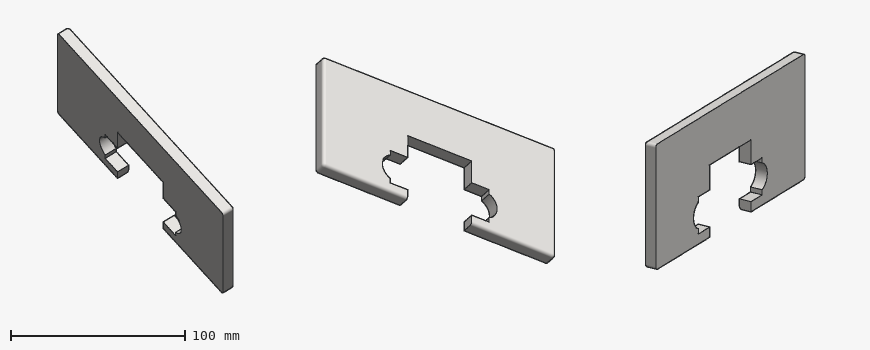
import cadquery as cq

length = 160.0
thickness = 8.0
height = 78.0
edge_radius = thickness / 4

slot_width = 44.0
slot_height = 45.0
window_width = 68.0
window_height = 23.0
window_bottom = 6.4
lobe_span = 78.9
lobe_diameter = 18.2

window_center_z = window_bottom + window_height / 2
lobe_center_x = (lobe_span - lobe_diameter) / 2


def make_plate():
    """Plate standing on Z = 0 with rounded corners and a rounded back rim."""
    plate = cq.Workplane("XY").box(length, thickness, height, centered=(True, True, False))
    return plate.edges("|Y").fillet(edge_radius).faces(">Y").edges().fillet(edge_radius)


def through_box(width, box_height, bottom):
    """Centred rectangular cutter passing through the plate."""
    box = cq.Workplane("XY").box(width, 2 * thickness, box_height, centered=(True, True, False))
    return box.translate((0, 0, bottom))


def make_opening():
    """Open-bottom slot crossed by a wider window with a round lobe at each end."""
    slot = through_box(slot_width, slot_height, 0)
    window = through_box(window_width, window_height, window_bottom)
    lobes = (
        cq.Workplane("XZ")
        .pushPoints([(side * lobe_center_x, window_center_z) for side in (-1, 1)])
        .circle(lobe_diameter / 2)
        .extrude(thickness, both=True)
    )
    return slot.union(window).union(lobes)


result = make_plate().cut(make_opening())